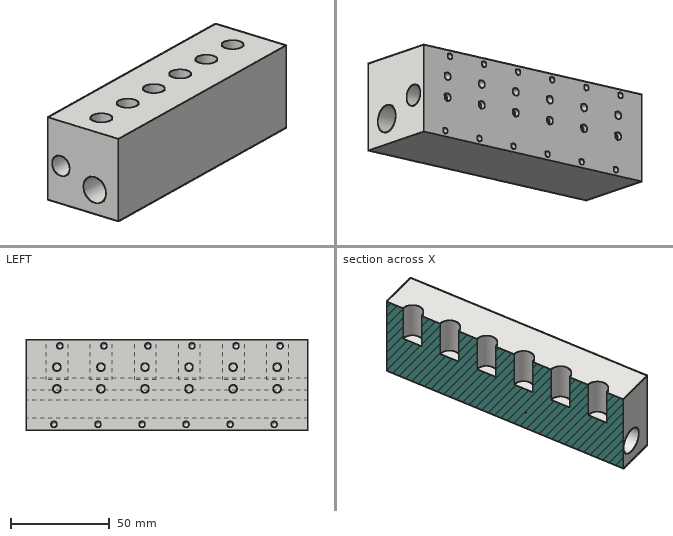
import cadquery as cq
import math

WIDTH = 44.7
LENGTH = 143.0
HEIGHT = 46.0

STATION_COUNT = 6
STATION_PITCH = WIDTH / 2
FIRST_STATION_Y = (LENGTH - (STATION_COUNT - 1) * STATION_PITCH) / 2

SMALL_GALLERY_DIAMETER = 11.1
SMALL_GALLERY_X = 8.3
SMALL_GALLERY_Z = 21.1
LARGE_GALLERY_DIAMETER = 14.29
LARGE_GALLERY_X = 29.7
LARGE_GALLERY_Z = 13.5

TOP_PORT_DIAMETER = 11.1
TOP_PORT_X = WIDTH / 2
TOP_PORT_DEPTH = 20.0

SIDE_PORT_DIAMETER = 4.0
UPPER_SIDE_PORT_Z = 32.1

SCREW_HOLE_DIAMETER = 3.0
SCREW_HOLE_DEPTH = 10.0
SCREW_HOLE_EDGE_DISTANCE = 3.1
SCREW_HOLE_STAGGER = 1.5
DRILL_POINT_ANGLE = 118.0


def gallery(diameter, x, z):
    """Cylinder running the full length of the block."""
    return cq.Workplane("XZ").center(x, z).circle(diameter / 2).extrude(-LENGTH)


def top_port(y):
    """Cylinder sunk from the top face."""
    return (
        cq.Workplane("XY", origin=(TOP_PORT_X, y, HEIGHT))
        .circle(TOP_PORT_DIAMETER / 2)
        .extrude(-TOP_PORT_DEPTH)
    )


def side_port(y, z, depth):
    """Cylinder sunk from the -X face."""
    return cq.Workplane("YZ").center(y, z).circle(SIDE_PORT_DIAMETER / 2).extrude(depth)


def screw_hole(y, z):
    """Blind hole with a conical end, sunk from the -X face."""
    radius = SCREW_HOLE_DIAMETER / 2
    point_length = radius / math.tan(math.radians(DRILL_POINT_ANGLE / 2))
    return (
        cq.Workplane("XY", origin=(0, y, z))
        .moveTo(0, 0)
        .lineTo(0, radius)
        .lineTo(SCREW_HOLE_DEPTH, radius)
        .lineTo(SCREW_HOLE_DEPTH + point_length, 0)
        .close()
        .revolve(360, (0, 0, 0), (1, 0, 0))
    )


result = cq.Workplane("XY").box(WIDTH, LENGTH, HEIGHT, centered=False)

result = result.cut(gallery(SMALL_GALLERY_DIAMETER, SMALL_GALLERY_X, SMALL_GALLERY_Z))
result = result.cut(gallery(LARGE_GALLERY_DIAMETER, LARGE_GALLERY_X, LARGE_GALLERY_Z))

for station in range(STATION_COUNT):
    station_y = FIRST_STATION_Y + station * STATION_PITCH
    upper_screw_y = station_y - SCREW_HOLE_STAGGER
    lower_screw_y = station_y + SCREW_HOLE_STAGGER
    result = result.cut(top_port(station_y))
    result = result.cut(side_port(station_y, UPPER_SIDE_PORT_Z, TOP_PORT_X))
    result = result.cut(side_port(station_y, SMALL_GALLERY_Z, SMALL_GALLERY_X))
    result = result.cut(screw_hole(upper_screw_y, HEIGHT - SCREW_HOLE_EDGE_DISTANCE))
    result = result.cut(screw_hole(lower_screw_y, SCREW_HOLE_EDGE_DISTANCE))